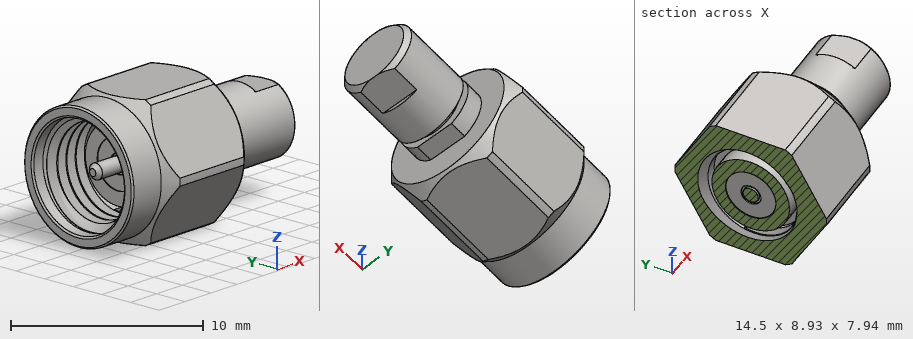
import cadquery as cq
import math

total_length = 14.49
hex_start = 2.2
hex_end = 8.6
collar_end = 9.66
groove_end = 10.05
tip_flat_start = 12.45

sleeve_diameter = 7.67
sleeve_edge_chamfer = 0.1
hex_across_flats = 7.94
hex_across_corners = 8.93
hex_cone_length = 0.74

mouth_diameter = 6.58
mouth_chamfer_length = 0.09
counterbore_diameter = 6.35
thread_minor_diameter = 5.39
counterbore_depth = 0.78
lead_in_length = 0.5
floor_depth = 4.13
thread_pitch = 0.71
thread_groove_width = 0.67
thread_start = 0.72
thread_end = 3.7
thread_root_diameter = 6.29
thread_start_angle = 55
thread_overcut = 0.03

boss_diameter = 4.58
boss_face = 3.09
dielectric_diameter = 2.93
dielectric_recess = 0.05
pin_clearance_diameter = 1.17
pin_clearance_depth = 0.09
pin_diameter = 0.91
pin_tip_diameter = 0.43
pin_tip = 1.13
pin_cone_length = 0.25

barrel_diameter = 4.58
barrel_across_flats = 3.95
groove_diameter = 3.36
barrel_end_chamfer = 0.29


def cylinder(diameter, start, end):
    """Cylinder on the X axis between two axial positions."""
    return cq.Workplane("YZ").workplane(offset=start).circle(diameter / 2).extrude(end - start)


def revolve_profile(points):
    """Revolve a profile of (axial position, radius) points about the X axis."""
    return cq.Workplane("XY").polyline(points).close().revolve(360, (0, 0, 0), (1, 0, 0))


def make_sleeve():
    sleeve = cylinder(sleeve_diameter, 0, hex_start)
    return sleeve.faces("<X").chamfer(sleeve_edge_chamfer)


def make_hexagon():
    """Hexagon with flats facing Z, trimmed by a cylinder with a cone at each end."""
    corner_diameter = hex_across_flats / math.cos(math.pi / 6)
    prism = (
        cq.Workplane("YZ").workplane(offset=hex_start)
        .polygon(6, corner_diameter).extrude(hex_end - hex_start)
    )
    end_radius = sleeve_diameter / 2
    corner_radius = hex_across_corners / 2
    envelope = revolve_profile([
        (hex_start, 0),
        (hex_start, end_radius),
        (hex_start + hex_cone_length, corner_radius),
        (hex_end - hex_cone_length, corner_radius),
        (hex_end, end_radius),
        (hex_end, 0),
    ])
    return prism.intersect(envelope)


def flatten(body, start, end):
    """Trim a length of barrel to two flats facing +Z and -Z."""
    slab = cq.Workplane("XY").box(
        end - start, barrel_diameter, barrel_across_flats, centered=(False, True, True)
    ).translate((start, 0, 0))
    return body.intersect(slab)


def make_barrel():
    collar = flatten(cylinder(barrel_diameter, hex_end, collar_end), hex_end, collar_end)
    neck = cylinder(groove_diameter, collar_end, groove_end)
    body = cylinder(barrel_diameter, groove_end, tip_flat_start)
    tip = cylinder(barrel_diameter, tip_flat_start, total_length)
    tip = tip.faces(">X").chamfer(barrel_end_chamfer)
    tip = flatten(tip, tip_flat_start, total_length)
    return collar.union(neck).union(body).union(tip)


def make_socket_cutter():
    """Stepped bore with a chamfered mouth and a conical thread lead-in."""
    counterbore_radius = counterbore_diameter / 2
    minor_radius = thread_minor_diameter / 2
    return revolve_profile([
        (0, 0),
        (0, mouth_diameter / 2),
        (mouth_chamfer_length, counterbore_radius),
        (counterbore_depth, counterbore_radius),
        (counterbore_depth + lead_in_length, minor_radius),
        (floor_depth, minor_radius),
        (floor_depth, 0),
    ])


def make_thread_cutter():
    """V-shaped helical groove, built along Z and turned onto X."""
    crest_radius = thread_minor_diameter / 2 - thread_overcut
    root_radius = thread_root_diameter / 2
    half_width = thread_groove_width / 2
    path = cq.Wire.makeHelix(thread_pitch, thread_end - thread_start, crest_radius)
    groove = (
        cq.Workplane("XZ")
        .polyline([(crest_radius, -half_width), (root_radius, 0), (crest_radius, half_width)])
        .close()
        .sweep(cq.Workplane(obj=path), isFrenet=True)
    )
    groove = groove.rotate((0, 0, 0), (0, 1, 0), 90)
    groove = groove.rotate((0, 0, 0), (1, 0, 0), -thread_start_angle)
    return groove.translate((thread_start, 0, 0))


def make_contact():
    """Central boss with recessed dielectric and a pin with a conical tip."""
    dielectric_face = boss_face + dielectric_recess
    clearance_floor = dielectric_face + pin_clearance_depth
    boss = cylinder(boss_diameter, boss_face, floor_depth)
    boss = boss.cut(cylinder(dielectric_diameter, boss_face, dielectric_face))
    boss = boss.cut(cylinder(pin_clearance_diameter, dielectric_face, clearance_floor))
    pin = revolve_profile([
        (pin_tip, 0),
        (pin_tip, pin_tip_diameter / 2),
        (pin_tip + pin_cone_length, pin_diameter / 2),
        (floor_depth, pin_diameter / 2),
        (floor_depth, 0),
    ])
    return boss.union(pin)


nut = make_sleeve().union(make_hexagon())
nut = nut.cut(make_socket_cutter()).cut(make_thread_cutter())
result = nut.union(make_barrel()).union(make_contact())